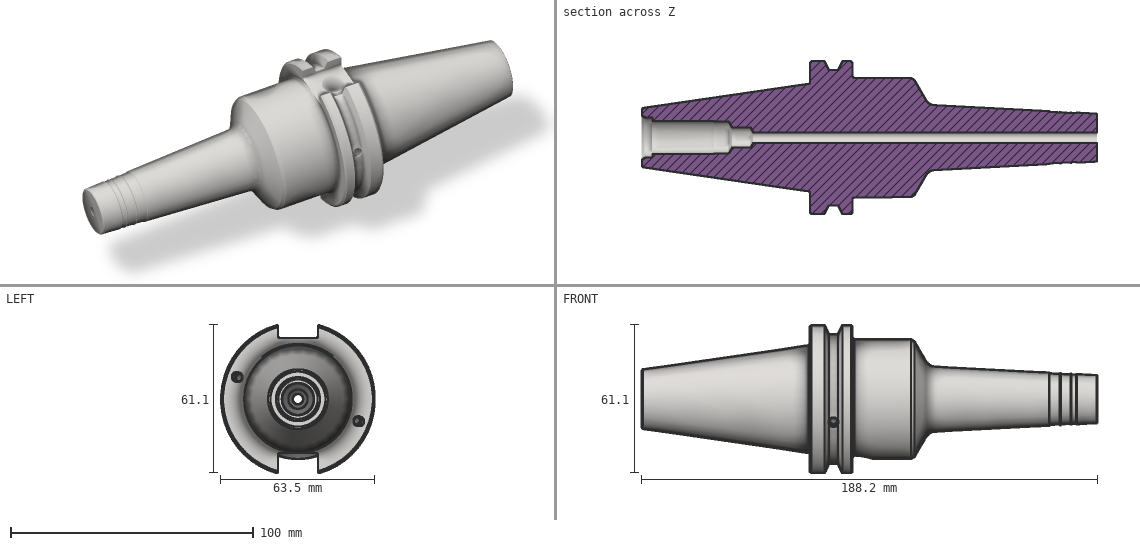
import cadquery as cq
import math


gauge_radius = 22.225
taper_length = 68.25
taper_slope = 7 / 48
taper_end_chamfer = 0.9
taper_end_chamfer_length = 0.5

flange_radius = 31.75
flange_start = 1.2
flange_end = 18.95
flange_edge_chamfer = 0.8
taper_root_fillet = 0.6
body_root_fillet = 0.8
groove_center = 11.0
groove_floor_radius = 28.1
groove_floor_width = 3.75
groove_mouth_width = 7.4

body_radius = 24.75
body_end = 42.95
body_edge_chamfer = 0.9
body_edge_chamfer_length = 1.55
shoulder_slope = math.tan(math.radians(60))
shoulder_root_fillet = 4.0

nose_end = 120.0
nose_end_radius = 10.0
nose_slope = math.tan(math.radians(3))
nose_end_chamfer = 0.4
band_start = 100.0
band_end = 111.5
band_crests = (104.7, 109.1)
band_depth = 0.28
band_wall_length = 0.3

keyway_half_width = 8.19
keyway_edge_chamfer = 0.475
keyway_edge_height = 30.545
keyway_floor_fillet = 0.6
top_keyway_floor = 25.3
bottom_keyway_floor = 22.3
bottom_keyway_round_center = 19.5
dimple_diameter = 9.53
dimple_x = 9.0

mouth_diameter = 18.2
mouth_depth = 1.65
counterbore_diameter = 16.3
counterbore_depth = 4.5
thread_diameter = 13.39
thread_depth = 30.0
pilot_diameter = 13.0
pilot_depth = 36.0
inner_diameter = 8.0
inner_depth = 45.0
through_diameter = 4.2

flange_hole_angles = (20, 200)
thread_hole_diameter = 4.0
core_hole_diameter = 3.24
face_hole_radius = 26.8
face_hole_tilt = math.radians(20)
face_thread_depth = 2.5
face_core_depth = 3.5
groove_thread_depth = 1.5
groove_core_depth = 2.5

drill_tip_slope = math.tan(math.radians(59))
clearance = 1.0


def nose_radius(x):
    return nose_end_radius + (nose_end - x) * nose_slope


def taper_radius(x):
    return gauge_radius + x * taper_slope


def solid_of_revolution(points):
    return cq.Workplane("XY").polyline(points).close().revolve(360, (0, 0, 0), (1, 0, 0))


def fillet_ring(solid, x, radius, fillet_radius):
    """Round the full circular edge that lies at the given x and radius."""
    tolerance = 0.01
    ring = (
        solid.edges("%CIRCLE")
        .filter(lambda edge: abs(edge.Center().x - x) < tolerance)
        .filter(lambda edge: abs(edge.radius() - radius) < tolerance)
    )
    return ring.fillet(fillet_radius)


def taper_profile():
    chamfer_end = -taper_length + taper_end_chamfer_length
    return [
        (-taper_length, 0),
        (-taper_length, taper_radius(-taper_length) - taper_end_chamfer),
        (chamfer_end, taper_radius(chamfer_end)),
        (0, gauge_radius),
        (flange_start, gauge_radius),
    ]


def flange_profile():
    floor_half = groove_floor_width / 2
    mouth_half = groove_mouth_width / 2
    return [
        (flange_start, flange_radius - flange_edge_chamfer),
        (flange_start + flange_edge_chamfer, flange_radius),
        (groove_center - mouth_half, flange_radius),
        (groove_center - floor_half, groove_floor_radius),
        (groove_center + floor_half, groove_floor_radius),
        (groove_center + mouth_half, flange_radius),
        (flange_end - flange_edge_chamfer, flange_radius),
        (flange_end, flange_radius - flange_edge_chamfer),
        (flange_end, body_radius),
    ]


def band_profile():
    """Shallow turned band on the nose, divided by sharp crests at the nose's own radius."""
    ridges = (band_start, *band_crests, band_end)
    points = []
    for left, right in zip(ridges, ridges[1:]):
        floor_start = left + band_wall_length
        floor_end = right - band_wall_length
        points += [
            (left, nose_radius(left)),
            (floor_start, nose_radius(floor_start) - band_depth),
            (floor_end, nose_radius(floor_end) - band_depth),
        ]
    return points + [(band_end, nose_radius(band_end))]


def turned_blank():
    shoulder_start = body_end + body_edge_chamfer_length
    shoulder_radius = body_radius - body_edge_chamfer
    shoulder_drop = shoulder_radius - nose_radius(shoulder_start)
    shoulder_end = shoulder_start + shoulder_drop / (shoulder_slope - nose_slope)
    blank = solid_of_revolution(
        taper_profile()
        + flange_profile()
        + [
            (body_end, body_radius),
            (shoulder_start, shoulder_radius),
            (shoulder_end, nose_radius(shoulder_end)),
        ]
        + band_profile()
        + [
            (nose_end - nose_end_chamfer, nose_radius(nose_end - nose_end_chamfer)),
            (nose_end, nose_end_radius - nose_end_chamfer),
            (nose_end, 0),
        ]
    )
    blank = fillet_ring(blank, flange_start, gauge_radius, taper_root_fillet)
    blank = fillet_ring(blank, flange_end, body_radius, body_root_fillet)
    return fillet_ring(blank, shoulder_end, nose_radius(shoulder_end), shoulder_root_fillet)


def central_bore():
    mouth_radius = mouth_diameter / 2
    counterbore_radius = counterbore_diameter / 2
    thread_radius = thread_diameter / 2
    pilot_radius = pilot_diameter / 2
    inner_radius = inner_diameter / 2
    through_radius = through_diameter / 2
    part_length = taper_length + nose_end
    bore = solid_of_revolution([
        (0, 0),
        (0, mouth_radius),
        (mouth_depth, counterbore_radius),
        (counterbore_depth, counterbore_radius),
        (counterbore_depth, thread_radius),
        (thread_depth, thread_radius),
        (thread_depth, pilot_radius),
        (pilot_depth, pilot_radius),
        (pilot_depth + (pilot_radius - inner_radius) / drill_tip_slope, inner_radius),
        (inner_depth, inner_radius),
        (inner_depth + (inner_radius - through_radius) / drill_tip_slope, through_radius),
        (part_length, through_radius),
        (part_length, 0),
    ])
    return bore.translate((-taper_length, 0, 0))


def keyway(floor, end):
    """Keyway cutter on the +Z side, from the gauge plane to x = end, with chamfered upper edges."""
    chamfer_foot = keyway_edge_height - keyway_edge_chamfer
    edge_half_width = keyway_half_width + keyway_edge_chamfer
    top = flange_radius + clearance
    right_side = [
        (keyway_half_width, floor),
        (keyway_half_width, chamfer_foot),
        (edge_half_width, keyway_edge_height),
        (edge_half_width, top),
    ]
    left_side = [(-y, z) for y, z in reversed(right_side)]
    cutter = cq.Workplane("YZ").polyline(right_side + left_side).close().extrude(end)
    return cutter.edges("|X and <Z").fillet(keyway_floor_fillet)


def top_keyway():
    return keyway(top_keyway_floor, flange_end + body_root_fillet)


def bottom_keyway():
    """Deeper keyway that runs out into the body with a half-round end."""
    round_end = (
        cq.Workplane("XY", origin=(bottom_keyway_round_center, 0, bottom_keyway_floor))
        .circle(keyway_half_width)
        .extrude(body_radius + clearance - bottom_keyway_floor)
        .faces("<Z")
        .edges()
        .fillet(keyway_floor_fillet)
    )
    cutter = keyway(bottom_keyway_floor, bottom_keyway_round_center).union(round_end)
    return cutter.rotate((0, 0, 0), (1, 0, 0), 180)


def dimple():
    radius = dimple_diameter / 2
    return cq.Workplane(
        obj=cq.Solid.makeCone(
            radius,
            0,
            radius / drill_tip_slope,
            pnt=cq.Vector(dimple_x, 0, top_keyway_floor),
            dir=cq.Vector(0, 0, -1),
        )
    )


def threaded_hole(thread_depth, core_depth, entry, direction):
    """Blind hole with a wider threaded mouth, a narrower core and a conical bottom."""
    mouth = thread_hole_diameter / 2
    core = core_hole_diameter / 2
    tool = (
        cq.Workplane("XZ")
        .polyline([
            (0, -clearance),
            (mouth, -clearance),
            (mouth, thread_depth),
            (core, thread_depth),
            (core, core_depth),
            (0, core_depth + core / drill_tip_slope),
        ])
        .close()
        .revolve(360, (0, 0, 0), (0, 1, 0))
    )
    placement = cq.Plane(origin=entry, normal=direction).location
    return cq.Workplane(obj=tool.val().moved(placement))


def flange_holes(angle):
    """Hole sloping inward from the flange face and radial hole in the groove floor, at one angle."""
    face_hole = threaded_hole(
        face_thread_depth,
        face_core_depth,
        (flange_start, face_hole_radius, 0),
        (math.cos(face_hole_tilt), -math.sin(face_hole_tilt), 0),
    )
    groove_hole = threaded_hole(
        groove_thread_depth,
        groove_core_depth,
        (groove_center, groove_floor_radius, 0),
        (0, -1, 0),
    )
    return [hole.rotate((0, 0, 0), (1, 0, 0), angle) for hole in (face_hole, groove_hole)]


cutters = [central_bore(), top_keyway(), bottom_keyway(), dimple()]
for hole_angle in flange_hole_angles:
    cutters += flange_holes(hole_angle)

result = turned_blank()
for cutter in cutters:
    result = result.cut(cutter)